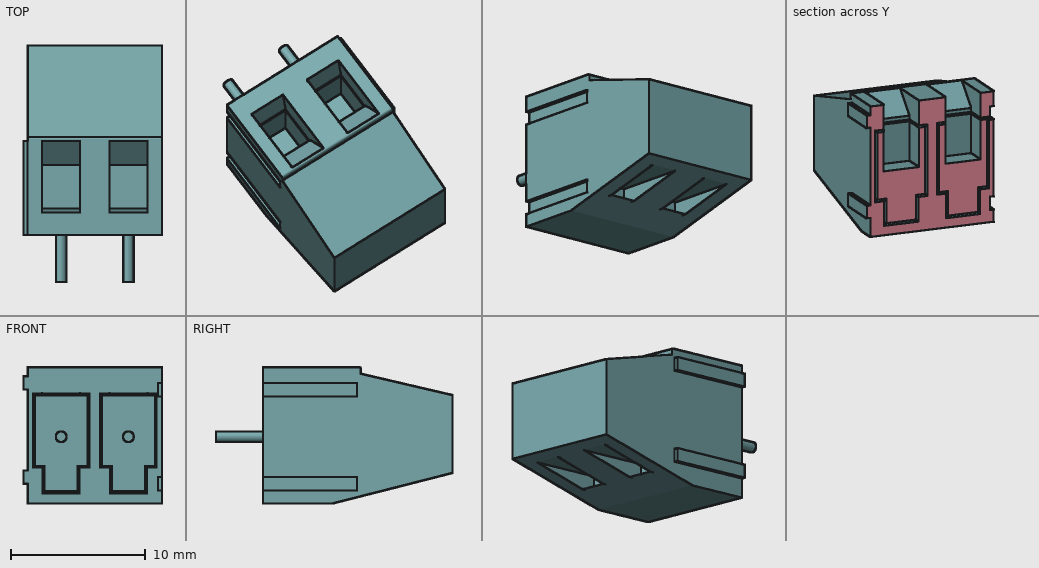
import cadquery as cq


PITCH = 5.0
POLES = 2
BODY_WIDTH = PITCH * POLES
BODY_HEIGHT = 10.16
BODY_DEPTH = 14.1
NOSE_BOTTOM = 2.28
NOSE_TOP = 8.08
BELLY_END = 5.15
STEP_Y = 7.28
STEP_BOTTOM = 9.67
STEP_FILLET = 0.15

RIB_LENGTH = 7.0
RIB_THICKNESS = 0.3
RIB_HEIGHT = 1.0
RIB_BOTTOMS = (1.48, 8.48)
SLOT_DROP = 0.5

CAVITY_DEPTH = 7.0
CHAMBER_WIDTH = 4.2
CHAMBER_TOP = 8.2
CHAMBER_BOTTOM = 2.68
NECK_WIDTH = 2.74
NECK_BOTTOM = 0.77

CLEARANCE = 0.14

BACK_SLOT_WIDTH = 2.2
BACK_SLOT_HEIGHT = 1.2

FUNNEL_WIDTH = 2.82
FUNNEL_FRONT = 1.67
FUNNEL_BACK = 7.0
FUNNEL_DROP = 1.66
FRONT_RUN = 0.33
BACK_RUN = 1.77
WIRE_HOLE_FLOOR = 5.0

PIN_DIAMETER = 0.8
PIN_LENGTH = 3.5
PIN_Z = 4.98


def box(x_start, y_start, z_start, width, depth, height):
    """Box placed by its lowest corner."""
    return cq.Workplane("XY").box(width, depth, height, centered=False).translate(
        (x_start, y_start, z_start)
    )


def centred_box(center_x, y_start, z_start, width, depth, height):
    """Box centred on center_x and placed by its lowest y and z."""
    return box(center_x - width / 2, y_start, z_start, width, depth, height)


def side_profile(points, x_start, width):
    """Outline of (y, z) points extruded along +X from x_start."""
    return cq.Workplane("YZ", origin=(x_start, 0, 0)).polyline(points).close().extrude(width)


def make_housing():
    outline = [
        (0, 0),
        (BELLY_END, 0),
        (BODY_DEPTH, NOSE_BOTTOM),
        (BODY_DEPTH, NOSE_TOP),
        (STEP_Y, STEP_BOTTOM),
        (STEP_Y, BODY_HEIGHT),
        (0, BODY_HEIGHT),
    ]
    housing = side_profile(outline, 0, BODY_WIDTH)
    step_corner = cq.selectors.NearestToPointSelector((BODY_WIDTH / 2, STEP_Y, BODY_HEIGHT))
    return housing.edges(step_corner).fillet(STEP_FILLET)


def add_ribs_and_slots(housing):
    for rib_bottom in RIB_BOTTOMS:
        rib = box(-RIB_THICKNESS, 0, rib_bottom, RIB_THICKNESS, RIB_LENGTH, RIB_HEIGHT)
        slot = box(
            BODY_WIDTH - RIB_THICKNESS,
            0,
            rib_bottom - SLOT_DROP,
            RIB_THICKNESS,
            RIB_LENGTH,
            RIB_HEIGHT,
        )
        housing = housing.union(rib).cut(slot)
    return housing


def stepped_block(pole_x, inset):
    """Chamber and neck of the cavity, drawn in by inset on every side."""
    chamber = centred_box(
        pole_x,
        0,
        CHAMBER_BOTTOM + inset,
        CHAMBER_WIDTH - 2 * inset,
        CAVITY_DEPTH,
        CHAMBER_TOP - CHAMBER_BOTTOM - 2 * inset,
    )
    neck = centred_box(
        pole_x,
        0,
        NECK_BOTTOM + inset,
        NECK_WIDTH - 2 * inset,
        CAVITY_DEPTH,
        CHAMBER_BOTTOM - NECK_BOTTOM,
    )
    return chamber.union(neck)


def make_wire_funnel(pole_x):
    throat_front = FUNNEL_FRONT + FRONT_RUN
    throat_back = FUNNEL_BACK - BACK_RUN
    throat_z = BODY_HEIGHT - FUNNEL_DROP
    outline = [
        (FUNNEL_FRONT, BODY_HEIGHT),
        (throat_front, throat_z),
        (throat_front, WIRE_HOLE_FLOOR),
        (throat_back, WIRE_HOLE_FLOOR),
        (throat_back, throat_z),
        (FUNNEL_BACK, BODY_HEIGHT),
    ]
    return side_profile(outline, pole_x - FUNNEL_WIDTH / 2, FUNNEL_WIDTH)


def make_pin(pole_x):
    pin_base = cq.Workplane("XZ", origin=(pole_x, 0, PIN_Z))
    return pin_base.circle(PIN_DIAMETER / 2).extrude(PIN_LENGTH)


def add_pole(housing, pole_x):
    back_slot = centred_box(
        pole_x,
        CAVITY_DEPTH,
        NECK_BOTTOM,
        BACK_SLOT_WIDTH,
        BODY_DEPTH - CAVITY_DEPTH,
        BACK_SLOT_HEIGHT,
    )
    housing = housing.cut(stepped_block(pole_x, 0)).cut(back_slot)
    housing = housing.union(stepped_block(pole_x, CLEARANCE))
    return housing.cut(make_wire_funnel(pole_x)).union(make_pin(pole_x))


result = add_ribs_and_slots(make_housing())
for pole in range(POLES):
    result = add_pole(result, PITCH * (pole + 0.5))